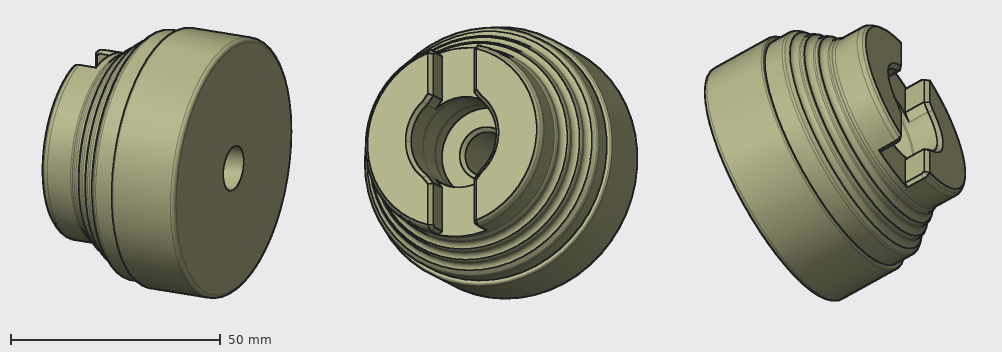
import cadquery as cq
import math

length = 40.0
collar_radius = 31.5
collar_start = 23.2
collar_front_fillet = 0.4
collar_back_fillet = 1.0

nose_radius = 23.0
nose_chamfer = 0.6
nose_blend = 1.65

rib_count = 3
first_crest_start = 9.25
first_crest_radius = 23.55
crest_length = 0.47
rib_rise = 2.0
rib_blend = 0.75
cove_radius = 1.5
root_blend = 0.9

shoulder_radius = 30.3
shoulder_blend = 0.9

bore_mouth_radius = 11.0
bore_seat_step = 0.095
bore_seat_start = 7.7
bore_seat_lead = 0.3
bore_seat_end = 15.1
bore_relief_lead = 0.95
bore_depth = 20.0
hole_radius = 5.4

slot_width = 10.5
slot_depth = 6.35
edge_chamfer = 1.0

corner_flat_reach = 1.65

ARC_RUN = math.sin(math.radians(45))
ARC_RISE = 1 - math.cos(math.radians(45))


def chamfer_then_blend(profile, chamfer, blend):
    """Rise along a 45 degree cone, then round over until parallel to the axis."""
    return profile.line(chamfer, chamfer).tangentArcPoint((blend * ARC_RUN, blend * ARC_RISE))


def make_body():
    nose_face_radius = nose_radius - nose_chamfer - nose_blend * ARC_RISE
    profile = cq.Workplane("XY").lineTo(0, nose_face_radius)
    profile = chamfer_then_blend(profile, nose_chamfer, nose_blend)

    first_rise = first_crest_radius - nose_radius
    first_chamfer = first_rise - (root_blend + rib_blend) * ARC_RISE
    root_start = first_crest_start - first_chamfer - (root_blend + rib_blend) * ARC_RUN
    profile = profile.lineTo(root_start, nose_radius)
    profile = profile.tangentArcPoint((root_blend * ARC_RUN, root_blend * ARC_RISE))
    profile = chamfer_then_blend(profile, first_chamfer, rib_blend)

    next_chamfer = rib_rise - cove_radius - rib_blend * ARC_RISE
    last_crest_radius = first_crest_radius + (rib_count - 1) * rib_rise
    shoulder_rise = shoulder_radius - last_crest_radius
    shoulder_chamfer = shoulder_rise - cove_radius - shoulder_blend * ARC_RISE
    for rib in range(rib_count):
        profile = profile.line(crest_length, 0).tangentArcPoint((cove_radius, cove_radius))
        if rib < rib_count - 1:
            profile = chamfer_then_blend(profile, next_chamfer, rib_blend)
        else:
            profile = chamfer_then_blend(profile, shoulder_chamfer, shoulder_blend)

    profile = (
        profile.lineTo(collar_start, shoulder_radius)
        .lineTo(collar_start, collar_radius - collar_front_fillet)
        .tangentArcPoint((collar_front_fillet, collar_front_fillet))
        .lineTo(length - collar_back_fillet, collar_radius)
        .tangentArcPoint((collar_back_fillet, -collar_back_fillet))
        .lineTo(length, 0)
        .close()
    )
    return profile.revolve(360, (0, 0, 0), (1, 0, 0))


def make_bore():
    """Stepped bore with a slightly tighter seat, ending in a countersunk through hole."""
    seat_radius = bore_mouth_radius - bore_seat_step
    return (
        cq.Workplane("XY")
        .lineTo(0, bore_mouth_radius)
        .lineTo(bore_seat_start, bore_mouth_radius)
        .lineTo(bore_seat_start + bore_seat_lead, seat_radius)
        .lineTo(bore_seat_end, seat_radius)
        .lineTo(bore_seat_end + bore_relief_lead, bore_mouth_radius)
        .lineTo(bore_depth, bore_mouth_radius)
        .lineTo(bore_depth, hole_radius + edge_chamfer)
        .lineTo(bore_depth + edge_chamfer, hole_radius)
        .lineTo(length, hole_radius)
        .lineTo(length, 0)
        .close()
        .revolve(360, (0, 0, 0), (1, 0, 0))
    )


def make_slot():
    return cq.Workplane("XY").box(
        slot_depth, slot_width, 2 * collar_radius, centered=(False, True, True)
    )


def make_corner_flats():
    """Octagonal prism that takes off the four sharp corners between slot and bore."""
    slot_y = slot_width / 2
    slot_z = math.sqrt(bore_mouth_radius**2 - slot_y**2) + edge_chamfer
    bore_y = slot_y + corner_flat_reach
    bore_z = math.sqrt(bore_mouth_radius**2 - bore_y**2)
    upper_half = [(bore_y, bore_z), (slot_y, slot_z), (-slot_y, slot_z), (-bore_y, bore_z)]
    lower_half = [(-y, -z) for y, z in upper_half]
    return cq.Workplane("YZ").polyline(upper_half + lower_half).close().extrude(slot_depth)


def centred_box(start, end, width, height):
    """Selector for edges lying between two X positions, within a width and height about the axis."""
    return cq.selectors.BoxSelector(
        (start, -width / 2, -height / 2),
        (end, width / 2, height / 2),
    )


def chamfer_lugs(body):
    """Chamfer the lugs along the slot, around the bore mouth and down their outer corners."""
    margin = 0.05
    mouth_size = 2 * bore_mouth_radius + margin
    slot_band = centred_box(-margin, slot_depth - margin, slot_width + margin, 2 * collar_radius)
    inner_zone = centred_box(-margin, slot_depth - margin, mouth_size, mouth_size)
    bore_mouth = centred_box(-margin, margin, mouth_size, mouth_size)
    return body.edges((slot_band - inner_zone) + bore_mouth).chamfer(edge_chamfer)


body = make_body().cut(make_bore()).cut(make_slot()).cut(make_corner_flats())
result = chamfer_lugs(body)